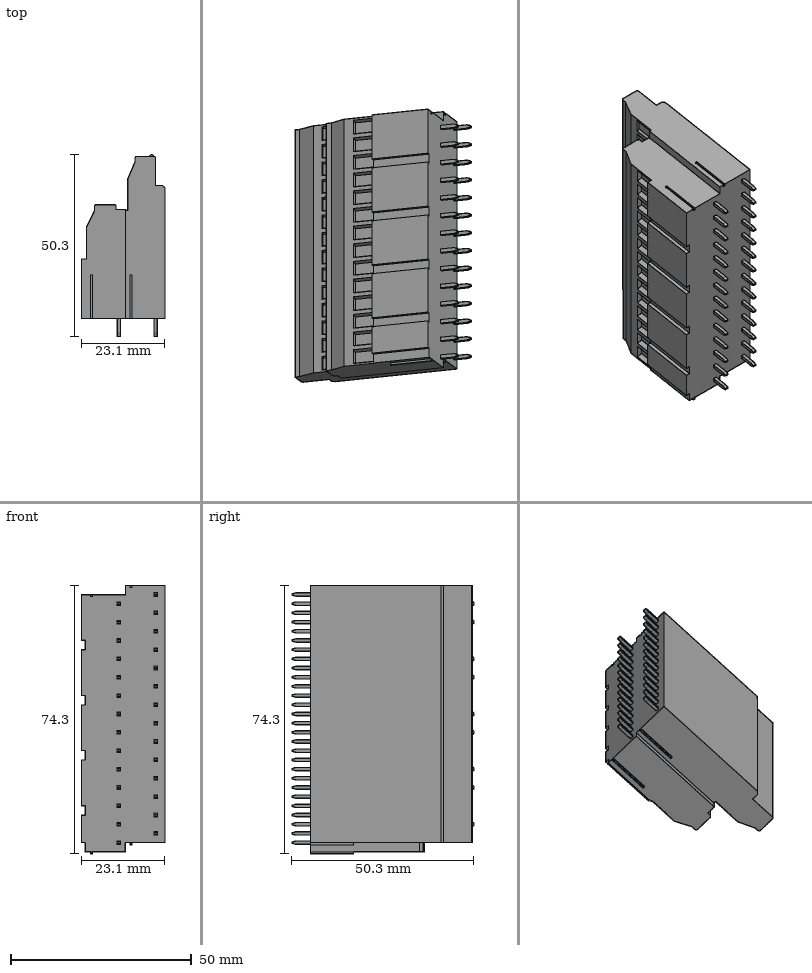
import cadquery as cq


pitch = 5.08
pole_count = 14
half_pitch = pitch / 2
row_length = pole_count * pitch
front_row_bottom = 0.0
rear_row_bottom = front_row_bottom + half_pitch
row_rise = 13.5

front_step_height = 16.5
front_face_inset = 1.35
front_top = 31.5
front_ledge_height = 30.15
front_ridge_end = 9.6
row_joint = 12.15

depth = 23.1
rear_face = 12.75
rear_step_height = front_step_height + row_rise
rear_top = 44.85
rear_ridge_end = 20.5
rear_ledge_height = 36.8
rear_ledge_chamfer = 0.7

front_slope_run = 2.25
front_slope_bottom = 8.7
rear_slope_run = 2.05
rear_slope_bottom = 8.55
slope_top = 13.35
ridge_chamfer = 0.3

pocket_width = 3.9
pocket_height = 5.95
front_pocket_depth = 1.5
rear_pocket_depth = 0.75
pocket_taper = 0.35

poles_per_module = 3
notch_width = half_pitch
notch_depth = 1.05

coupling_x = (2.55, 13.45)
coupling_width = 0.5
coupling_height = 12.0
coupling_rise = 0.6

pin_width = 0.95
pin_thickness = 1.0
pin_length = 5.0
pin_tip_length = 1.0
pin_tip_thickness = 0.4
rear_pin_x = 20.5
front_pin_x = rear_pin_x - 2 * pitch
overlap = 0.5

bump_x = 19.4
bump_radius = 0.6
bump_height = 0.45


def extrude_row(points, bottom):
    """Extrude an XY outline upward over the length of one row."""
    return cq.Workplane("XY").workplane(offset=bottom).polyline(points).close().extrude(row_length)


def box_between(x_range, y_range, z_range):
    """Axis-aligned box given by its limits."""
    sizes = [high - low for low, high in (x_range, y_range, z_range)]
    return (
        cq.Workplane("XY")
        .box(*sizes, centered=False)
        .translate((x_range[0], y_range[0], z_range[0]))
    )


def pole_centers(row_bottom):
    return [row_bottom + (index + 0.5) * pitch for index in range(pole_count)]


def front_row():
    ridge_start = front_face_inset + front_slope_run
    outline = [
        (0, 0),
        (0, front_step_height),
        (front_face_inset, front_step_height),
        (front_face_inset, front_step_height + front_slope_bottom),
        (ridge_start, front_step_height + slope_top),
        (ridge_start, front_top - ridge_chamfer),
        (ridge_start + ridge_chamfer, front_top),
        (front_ridge_end - ridge_chamfer, front_top),
        (front_ridge_end, front_top - ridge_chamfer),
        (front_ridge_end, front_ledge_height),
        (row_joint, front_ledge_height),
        (row_joint, 0),
    ]
    return extrude_row(outline, front_row_bottom)


def rear_row():
    ridge_start = rear_face + rear_slope_run
    outline = [
        (row_joint, 0),
        (row_joint, rear_step_height),
        (rear_face, rear_step_height),
        (rear_face, rear_step_height + rear_slope_bottom),
        (ridge_start, rear_step_height + slope_top),
        (ridge_start, rear_top - ridge_chamfer),
        (ridge_start + ridge_chamfer, rear_top),
        (rear_ridge_end - ridge_chamfer, rear_top),
        (rear_ridge_end, rear_top - ridge_chamfer),
        (rear_ridge_end, rear_ledge_height),
        (depth - rear_ledge_chamfer, rear_ledge_height),
        (depth, rear_ledge_height - rear_ledge_chamfer),
        (depth, 0),
    ]
    return extrude_row(outline, rear_row_bottom)


def wire_pocket(face_x, step_height, pocket_depth, center_z):
    """Pocket standing on the step, its Z walls leaning in toward the floor."""
    half_mouth = pocket_width / 2
    half_floor = half_mouth - pocket_taper
    return (
        cq.Workplane("XZ", origin=(face_x, step_height, center_z))
        .polyline([
            (0, -half_mouth),
            (pocket_depth, -half_floor),
            (pocket_depth, half_floor),
            (0, half_mouth),
        ])
        .close()
        .extrude(-pocket_height)
    )


def module_notches():
    """A notch at the lower end of every module; the last module is shorter."""
    row_top = front_row_bottom + row_length
    module_ends = [
        row_top - poles * pitch
        for poles in range(poles_per_module, pole_count, poles_per_module)
    ]
    module_ends.append(front_row_bottom)
    return [
        box_between((0, notch_depth), (0, front_step_height), (end, end + notch_width))
        for end in module_ends
    ]


def coupling_bar(start_x, z_low, z_high):
    return box_between((start_x, start_x + coupling_width), (0, coupling_height), (z_low, z_high))


def solder_pin(center_x, center_z):
    """Pin pointing to -Y, wedge-shaped in Z at its tip."""
    half = pin_thickness / 2
    half_tip = pin_tip_thickness / 2
    shoulder = pin_tip_length - pin_length
    return (
        cq.Workplane("YZ", origin=(center_x, 0, center_z))
        .polyline([
            (overlap, -half),
            (shoulder, -half),
            (-pin_length, -half_tip),
            (-pin_length, half_tip),
            (shoulder, half),
            (overlap, half),
        ])
        .close()
        .extrude(pin_width / 2, both=True)
    )


def marker_bump(center_z):
    """Ball sunk into the rear ridge so that only a dome stands out."""
    center = (bump_x, rear_top + bump_height - bump_radius, center_z)
    return cq.Workplane("XY").sphere(bump_radius).translate(center)


result = front_row().union(rear_row())

for z in pole_centers(front_row_bottom):
    result = result.cut(wire_pocket(front_face_inset, front_step_height, front_pocket_depth, z))
    result = result.union(solder_pin(front_pin_x, z))
for z in pole_centers(rear_row_bottom):
    result = result.cut(wire_pocket(rear_face, rear_step_height, rear_pocket_depth, z))
    result = result.union(solder_pin(rear_pin_x, z))

for notch in module_notches():
    result = result.cut(notch)

for start_x, row_bottom in zip(coupling_x, (front_row_bottom, rear_row_bottom)):
    row_top = row_bottom + row_length
    result = result.cut(coupling_bar(start_x, row_top - coupling_rise, row_top))
    result = result.union(coupling_bar(start_x, row_bottom - coupling_rise, row_bottom + overlap))

for boundary in range(1, pole_count):
    if boundary % poles_per_module:
        result = result.union(marker_bump(rear_row_bottom + row_length - boundary * pitch))